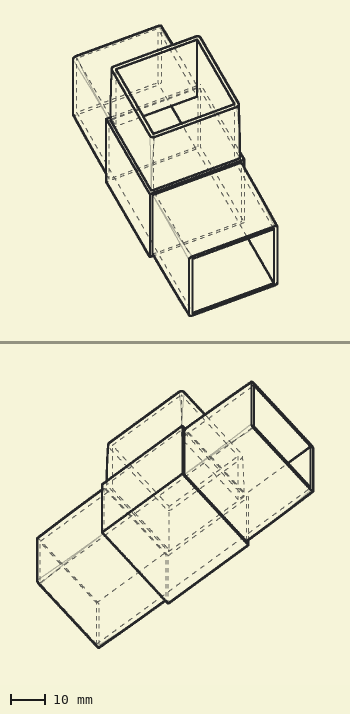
import cadquery as cq
import math

LENGTH = 80.0
HUB_SIDE = 30.0
STUB_SIDE = 28.2
BORE_SIDE = 25.8
TIP_RADIUS = 1.0
ROOT_RADIUS = 0.02

HUB_HALF = HUB_SIDE / 2
REACH = LENGTH / 2
STUB_LENGTH = REACH - HUB_HALF


def corner_section(distance):
    """Waste between a sharp stub corner and its rounding, at a distance from the root."""
    fraction = distance / STUB_LENGTH
    radius = ROOT_RADIUS + (TIP_RADIUS - ROOT_RADIUS) * fraction**2
    corner = STUB_SIDE / 2
    tangent = corner - radius
    arc_middle = tangent + radius * math.sqrt(0.5)
    return (
        cq.Workplane("XY", origin=(0, 0, HUB_HALF + distance))
        .moveTo(corner, tangent)
        .lineTo(corner, corner)
        .lineTo(tangent, corner)
        .threePointArc((arc_middle, arc_middle), (corner, tangent))
        .wire()
        .val()
    )


def make_stub():
    """Solid upright stub, from the hub centre up, with corners rounding towards its tip."""
    stub = cq.Workplane("XY").rect(STUB_SIDE, STUB_SIDE).extrude(REACH)
    stations = [0, STUB_LENGTH / 2, STUB_LENGTH]
    waste = cq.Solid.makeLoft([corner_section(d) for d in stations])
    for angle in (0, 90, 180, 270):
        stub = stub.cut(cq.Workplane(waste.rotate((0, 0, 0), (0, 0, 1), angle)))
    return stub


def make_upper_bore():
    return cq.Workplane("XY").rect(BORE_SIDE, BORE_SIDE).extrude(REACH)


hub = cq.Workplane("XY").box(HUB_SIDE, HUB_SIDE, HUB_SIDE)
through_bore = cq.Workplane("XY").box(LENGTH, BORE_SIDE, BORE_SIDE)

result = hub
for tilt in (-90, 0, 90):
    result = result.union(make_stub().rotate((0, 0, 0), (0, 1, 0), tilt))

result = result.cut(through_bore).cut(make_upper_bore())